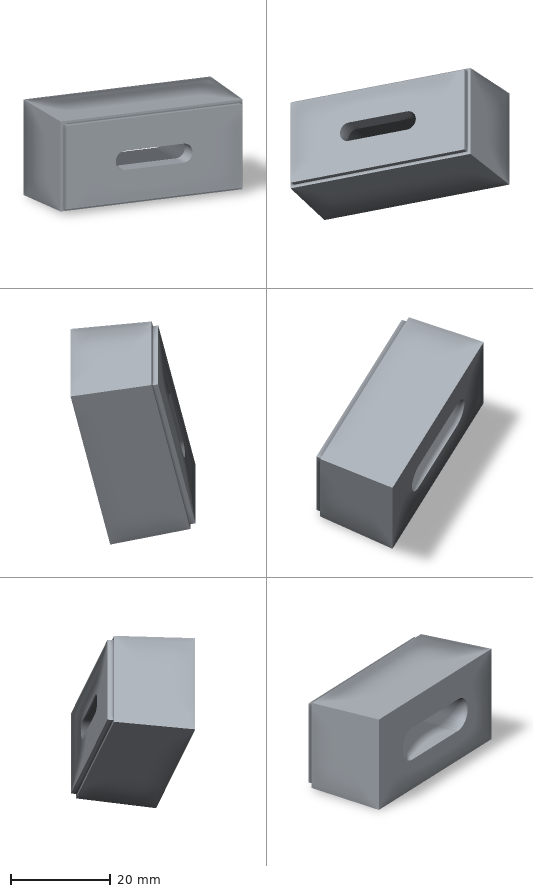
import cadquery as cq

base_length = 41.5
base_height = 19.9
body_depth = 16.5
draft_angle = 2.0

pad_length = 38.93
pad_height = 17.45
pad_depth = 1.2
total_depth = body_depth + pad_depth

pocket_length = 23.9
pocket_height = 6.97
pocket_depth = 14.0
pocket_draft = 0.5
slot_length = 17.0
slot_height = 4.0


def yz_plane(x):
    """Sketch plane facing +X at the given depth."""
    return cq.Workplane("YZ", origin=(x, 0, 0))


body = yz_plane(0).rect(base_length, base_height).extrude(body_depth, taper=draft_angle)
pad = yz_plane(body_depth).rect(pad_length, pad_height).extrude(pad_depth)

pocket = (
    yz_plane(0)
    .slot2D(pocket_length, pocket_height)
    .extrude(pocket_depth, taper=pocket_draft)
)
through_slot = yz_plane(0).slot2D(slot_length, slot_height).extrude(total_depth)

result = body.union(pad).cut(pocket).cut(through_slot)